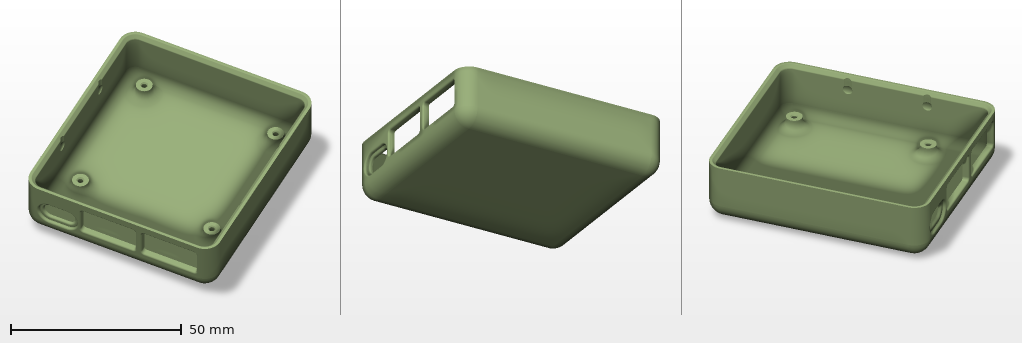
import cadquery as cq

LENGTH = 69.0
WIDTH = 62.0
HEIGHT = 18.0
WALL = 2.0
OUTER_RADIUS = 5.0
INNER_RADIUS = OUTER_RADIUS - WALL
EDGE_FILLET = 0.5

RIM_CHAMFER = 1.1
RIM_FILLET = 0.4

BOSS_DIAMETER = 5.0
BOSS_TOP = 5.65
BOSS_ROOT_FILLET = 3.0
BOSS_SPACING_X = 43.0
BOSS_SPACING_Y = 42.0
BOSS_CENTER_Y = 5.3
SCREW_DIAMETER = 1.6
SCREW_DEPTH = 3.0
SCREW_MOUTH_CHAMFER = 0.35

WINDOW_WIDTH = 17.95
WINDOW_HEIGHT = 8.75
WINDOW_RADIUS = 1.0
WINDOW_CENTER_Z = 11.0
WINDOW_CENTERS_X = (-3.2, 16.8)

PORT_CENTER_X = -19.6
PORT_CENTER_Z = HEIGHT / 2
PORT_WIDTH = 10.4
PORT_HEIGHT = 4.8
RECESS_MARGIN = 1.2
RECESS_DEPTH = WALL / 2

SNAP_DIAMETER = 3.7
CHANNEL_DEPTH = 0.4
DIMPLE_DEPTH = 0.75
DIMPLE_CENTER_Z = 13.5
SNAP_OFFSET_Y = 12.5


def rounded_block(inset, bottom, top, radius):
    """Box inset from the outer sides, round at its upright and lower edges."""
    block = cq.Workplane("XY").workplane(offset=bottom)
    block = block.rect(WIDTH - 2 * inset, LENGTH - 2 * inset).extrude(top - bottom)
    return block.edges("|Z").fillet(radius).faces("<Z").edges().fillet(radius)


def make_shell():
    cavity = rounded_block(WALL, WALL, HEIGHT + WALL, INNER_RADIUS)
    return rounded_block(0, 0, HEIGHT, OUTER_RADIUS).cut(cavity)


def inside_rim(inset, bottom):
    """Selector for edges lying wholly inside the given inset, above the given height."""
    half_width = WIDTH / 2 - inset
    half_length = LENGTH / 2 - inset
    return cq.selectors.BoxSelector(
        (-half_width, -half_length, bottom),
        (half_width, half_length, HEIGHT + WALL),
        boundingbox=True,
    )


def slope_rim(shell):
    """Chamfer the inner rim and round both edges of the slope."""
    rim = shell.faces(">Z").edges(inside_rim(WALL / 2, HEIGHT - WALL))
    sloped = rim.chamfer(RIM_CHAMFER)
    slope_inset = (WALL - RIM_CHAMFER) / 2
    return sloped.edges(inside_rim(slope_inset, HEIGHT - WALL)).edges("#Z").fillet(RIM_FILLET)


def make_boss():
    """Upright post flaring out to the floor, with a blind screw hole."""
    post = BOSS_DIAMETER / 2
    foot = post + BOSS_ROOT_FILLET
    flare_top = WALL + BOSS_ROOT_FILLET
    embedded_bottom = WALL / 2
    boss = (
        cq.Workplane("XZ")
        .moveTo(0, embedded_bottom)
        .lineTo(foot, embedded_bottom)
        .lineTo(foot, WALL)
        .radiusArc((post, flare_top), BOSS_ROOT_FILLET)
        .lineTo(post, BOSS_TOP)
        .lineTo(0, BOSS_TOP)
        .close()
        .revolve(360, (0, 0, 0), (0, 1, 0))
    )
    top = cq.Workplane("XY", origin=(0, 0, BOSS_TOP))
    screw_hole = top.circle(SCREW_DIAMETER / 2).extrude(-SCREW_DEPTH)
    smallest_circle = cq.selectors.RadiusNthSelector(0)
    mouth = boss.cut(screw_hole).faces(">Z").edges("%CIRCLE").edges(smallest_circle)
    return mouth.chamfer(SCREW_MOUTH_CHAMFER)


def add_bosses(shell):
    boss = make_boss()
    for side_x in (-1, 1):
        for side_y in (-1, 1):
            x = side_x * BOSS_SPACING_X / 2
            y = BOSS_CENTER_Y + side_y * BOSS_SPACING_Y / 2
            shell = shell.union(boss.translate((x, y, 0)))
    return shell


def front_prism(center_x, center_z, width, height, radius, front, depth):
    """Rounded rectangular prism running along +Y from the given front plane."""
    prism = cq.Workplane("XZ", origin=(center_x, front, center_z))
    return prism.rect(width, height).extrude(-depth).edges("|Y").fillet(radius)


def round_mouth(shell, center_x, center_z, width, height, front):
    """Round the front edge of an opening."""
    margin = EDGE_FILLET / 2
    mouth = cq.selectors.BoxSelector(
        (center_x - width / 2 - margin, front - margin, center_z - height / 2 - margin),
        (center_x + width / 2 + margin, front + margin, center_z + height / 2 + margin),
        boundingbox=True,
    )
    return shell.edges(mouth).fillet(EDGE_FILLET)


def cut_windows(shell):
    front = -LENGTH / 2
    for x in WINDOW_CENTERS_X:
        window = front_prism(
            x, WINDOW_CENTER_Z, WINDOW_WIDTH, WINDOW_HEIGHT, WINDOW_RADIUS, front, 2 * WALL
        )
        shell = shell.cut(window)
        shell = round_mouth(shell, x, WINDOW_CENTER_Z, WINDOW_WIDTH, WINDOW_HEIGHT, front)
    return shell


def cut_port(shell):
    """Slot through the wall inside a wider slot-shaped recess, both with rounded mouths."""
    steps = (
        (2 * RECESS_MARGIN, -LENGTH / 2, RECESS_DEPTH),
        (0, -LENGTH / 2 + RECESS_DEPTH, 2 * WALL),
    )
    for growth, front, depth in steps:
        width = PORT_WIDTH + growth
        height = PORT_HEIGHT + growth
        slot = cq.Workplane("XZ", origin=(PORT_CENTER_X, front, PORT_CENTER_Z))
        slot = slot.slot2D(width, height).extrude(-depth)
        shell = shell.cut(slot)
        shell = round_mouth(shell, PORT_CENTER_X, PORT_CENTER_Z, width, height, front)
    return shell


def cut_snaps(shell):
    """Shallow channels running down from the rim slope to dimples that catch the lid."""
    radius = SNAP_DIAMETER / 2
    inner_wall = WIDTH / 2 - WALL
    channel_x = inner_wall + CHANNEL_DEPTH - radius
    dimple_x = inner_wall + DIMPLE_DEPTH - radius
    channel = cq.Workplane("XY", origin=(channel_x, 0, DIMPLE_CENTER_Z)).circle(radius).extrude(HEIGHT)
    dimple = cq.Workplane("XY", origin=(dimple_x, 0, DIMPLE_CENTER_Z)).sphere(radius)
    for y in (-SNAP_OFFSET_Y, SNAP_OFFSET_Y):
        for cutter in (channel, dimple):
            right_cutter = cutter.translate((0, y, 0))
            shell = shell.cut(right_cutter).cut(right_cutter.mirror("YZ"))
    return shell


shell = slope_rim(make_shell())
shell = cut_windows(shell)
shell = cut_port(shell)
shell = cut_snaps(shell)
result = add_bosses(shell)